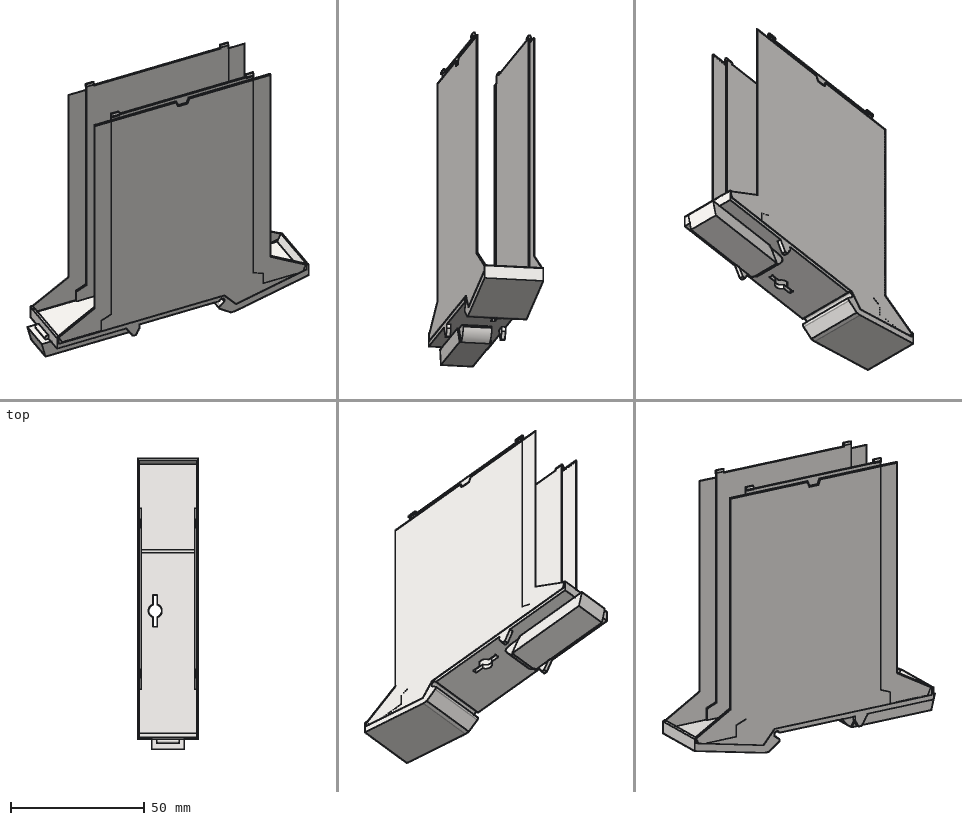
import cadquery as cq

width = 22.5
base_length = 105.5
tower_length = 73.7
wall_top = 104.9
shoulder_z = 20.7
end_wall_top = 11.6
underside_z = 6.8
floor_z = 8.7
side_wall = 0.5
end_wall = 0.8
end_wall_flare = 1.5

half_width = width / 2
half_base = base_length / 2
half_tower = tower_length / 2
inner_half_width = half_width - side_wall
inner_half_base = half_base - end_wall

hook_heel_y = 21.9
hook_toe_y = 20.1
nose_bottom = (15.6, 3.1)
nose_middle = (15.2, 3.7)
nose_top = (15.6, 4.5)
groove_start = (17.4, 6.0)
groove_middle = (17.2, 7.3)
groove_end = (15.3, underside_z)

panel_depth = 0.1
panel_rear_z = 9.7
panel_low = (22.3, 3.2)
panel_step = (17.4, floor_z)

liner_thickness = 0.7
liner_length = 59.5
liner_top = 106.3
liner_foot_length = 68.0
liner_foot_z = 13.3
liner_shoulder_z = 15.0
liner_face = inner_half_width - liner_thickness

lip_length = 3.2
lip_top = 107.8
lip_underside = 106.5
lip_crown_inner = 10.4
lip_crown_outer = 10.8
lip_corner_z = 106.9

notch_depth = 2.1
notch_top_width = 5.2
notch_bottom_width = 3.5

edge_bevel = 0.3

rib_radius = 0.5
rib_y = 17.7
hole_x = -4.8
hole_y = -4.6
hole_diameter = 4.9
slot_length = 11.8
slot_width = 1.5

catch_width = 8.3
catch_top = 8.3
catch_middle = (-54.2, 7.9)
catch_bottom_y = -54.0

latch_width = 12.2
latch_bottom = 0.4
latch_front_y = -56.56
latch_front_bottom_y = -55.0
latch_rear_top_y = -23.7
latch_rear_bottom_y = -19.8
claw_width = 10.9
claw_arc_middle = (-17.4, 2.4)
claw_tip = (-15.6, 5.5)
claw_tip_top = (-16.0, 6.0)
claw_root_y = -17.9

lug_width = 1.5
lug_bottom = 2.4
lug_rear_y = -18.1
lug_rear_z = 5.1
lug_toe_y = -19.7


def along_x(profile, x_start, x_end):
    """Extrude a closed YZ profile from x_start to x_end."""
    return profile.extrude(x_end - x_start).translate((x_start, 0, 0))


def yz_polygon(points):
    return cq.Workplane("YZ").polyline(points).close()


def both_sides(solid):
    """A solid on the +X side together with its mirror image."""
    return solid.union(solid.mirror("YZ"))


def upper_outline():
    """Side outline above the end walls, from front to rear."""
    return [
        (-half_base, end_wall_top),
        (-half_tower, shoulder_z),
        (-half_tower, wall_top),
        (half_tower, wall_top),
        (half_tower, shoulder_z),
        (half_base, end_wall_top),
    ]


def shell_block():
    profile = (
        cq.Workplane("YZ")
        .moveTo(-half_base, underside_z)
        .polyline(upper_outline(), includeCurrent=True)
        .lineTo(half_base, underside_z)
        .lineTo(hook_heel_y, 0)
        .lineTo(hook_toe_y, 0)
        .lineTo(*nose_bottom)
        .threePointArc(nose_middle, nose_top)
        .lineTo(*groove_start)
        .threePointArc(groove_middle, groove_end)
        .close()
    )
    return along_x(profile, -half_width, half_width)


def cavity():
    """Room between the walls; the end walls thicken from their tops down to the floor."""
    end_slope = (shoulder_z - end_wall_top) / (half_base - half_tower)
    end_top = end_wall_top + end_wall * end_slope
    floor_end = inner_half_base - end_wall_flare
    profile = yz_polygon([
        (-floor_end, floor_z),
        (floor_end, floor_z),
        (inner_half_base, end_top),
        (inner_half_base, wall_top),
        (-inner_half_base, wall_top),
        (-inner_half_base, end_top),
    ])
    return along_x(profile, -inner_half_width, inner_half_width)


def side_panels():
    """The thin slices removed from both side faces, inside the base rim."""
    profile = yz_polygon([
        (-inner_half_base, floor_z),
        (-inner_half_base, wall_top),
        (inner_half_base, wall_top),
        (inner_half_base, panel_rear_z),
        panel_low,
        panel_step,
    ])
    return both_sides(along_x(profile, half_width - panel_depth, half_width))


def notches():
    profile = yz_polygon([
        (-notch_top_width / 2, wall_top),
        (-notch_bottom_width / 2, wall_top - notch_depth),
        (notch_bottom_width / 2, wall_top - notch_depth),
        (notch_top_width / 2, wall_top),
    ])
    return both_sides(along_x(profile, inner_half_width, half_width))


def bevel_upper_edges(shell):
    """Bevel the outer edges of the shoulders, wall tops and notches."""
    panel_face = half_width - panel_depth
    for x in (-panel_face, panel_face):
        face_edges = cq.selectors.BoxSelector(
            (x - panel_depth / 2, -inner_half_base, end_wall_top),
            (x + panel_depth / 2, inner_half_base, wall_top + edge_bevel),
        )
        shell = shell.edges(face_edges).edges("not |Z").chamfer(edge_bevel)
    return shell


def liners():
    half_liner = liner_length / 2
    half_foot = liner_foot_length / 2
    profile = yz_polygon([
        (-half_foot, floor_z),
        (-half_foot, liner_foot_z),
        (-half_liner, liner_shoulder_z),
        (-half_liner, liner_top),
        (half_liner, liner_top),
        (half_liner, liner_shoulder_z),
        (half_foot, liner_foot_z),
        (half_foot, floor_z),
    ])
    return both_sides(along_x(profile, liner_face, inner_half_width))


def snap_lip(y_centre):
    """A pair of outward lips at one Y position."""
    lip = (
        cq.Workplane("XZ")
        .polyline([
            (liner_face, liner_top),
            (liner_face, lip_corner_z),
            (lip_crown_inner, lip_top),
            (lip_crown_outer, lip_top),
            (half_width, lip_corner_z),
            (half_width, lip_underside),
            (inner_half_width, lip_underside),
            (inner_half_width, liner_top),
        ])
        .close()
        .extrude(lip_length / 2, both=True)
        .translate((0, y_centre, 0))
    )
    return both_sides(lip)


def floor_rib():
    rib = cq.Workplane("YZ").center(rib_y, floor_z).circle(rib_radius)
    return along_x(rib, -inner_half_width, inner_half_width)


def keyhole():
    """Round hole with a narrow slot through it, down through the floor."""
    plane = cq.Workplane("XY").center(hole_x, hole_y)
    hole = plane.circle(hole_diameter / 2).extrude(floor_z)
    slot = plane.rect(slot_width, slot_length).extrude(floor_z)
    return hole.union(slot)


def front_catch():
    profile = (
        cq.Workplane("YZ")
        .moveTo(-half_base, underside_z)
        .lineTo(-half_base, catch_top)
        .threePointArc(catch_middle, (catch_bottom_y, underside_z))
        .close()
    )
    return along_x(profile, -catch_width / 2, catch_width / 2)


def guide_lugs():
    rear_run = latch_rear_bottom_y - latch_rear_top_y
    drop = (underside_z - lug_bottom) / (underside_z - latch_bottom)
    profile = yz_polygon([
        (latch_rear_top_y, underside_z),
        (lug_rear_y, underside_z),
        (lug_rear_y, lug_rear_z),
        (lug_toe_y, lug_bottom),
        (latch_rear_top_y + drop * rear_run, lug_bottom),
    ])
    return both_sides(along_x(profile, half_width - lug_width, half_width))


def make_housing():
    body = shell_block().cut(cavity()).cut(side_panels()).cut(notches())
    body = bevel_upper_edges(body).union(liners())
    lip_offset = (liner_length - lip_length) / 2
    for y_centre in (-lip_offset, lip_offset):
        body = body.union(snap_lip(y_centre))
    body = body.union(floor_rib()).cut(keyhole())
    return body.union(front_catch()).union(guide_lugs())


def make_latch():
    slide = along_x(
        yz_polygon([
            (latch_front_y, underside_z),
            (latch_front_bottom_y, latch_bottom),
            (latch_rear_bottom_y, latch_bottom),
            (latch_rear_top_y, underside_z),
        ]),
        -latch_width / 2,
        latch_width / 2,
    )
    claw = along_x(
        cq.Workplane("YZ")
        .moveTo(latch_rear_top_y, underside_z)
        .lineTo(latch_rear_bottom_y, latch_bottom)
        .threePointArc(claw_arc_middle, claw_tip)
        .lineTo(*claw_tip_top)
        .lineTo(claw_root_y, underside_z)
        .close(),
        -claw_width / 2,
        claw_width / 2,
    )
    return slide.union(claw)


housing = make_housing()
latch = make_latch()

result = cq.Compound.makeCompound([housing.val(), latch.val()])